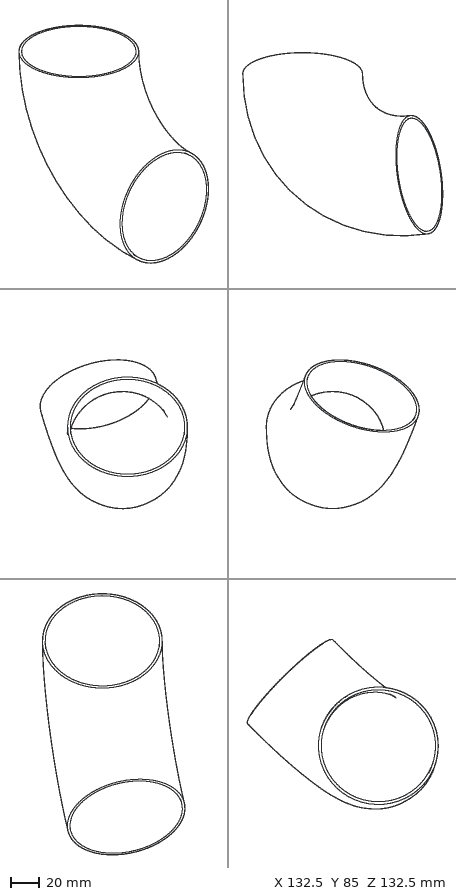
import cadquery as cq

overall_length = 132.5
outer_diameter = 85.0
wall_thickness = 2.0
bend_angle = 90.0

outer_radius = outer_diameter / 2
inner_radius = outer_radius - wall_thickness
bend_radius = overall_length - outer_radius

result = (
    cq.Workplane("XY")
    .center(-bend_radius, 0)
    .circle(outer_radius)
    .circle(inner_radius)
    .revolve(bend_angle, (bend_radius, 1.3, 0), (bend_radius, 0, 0))
)